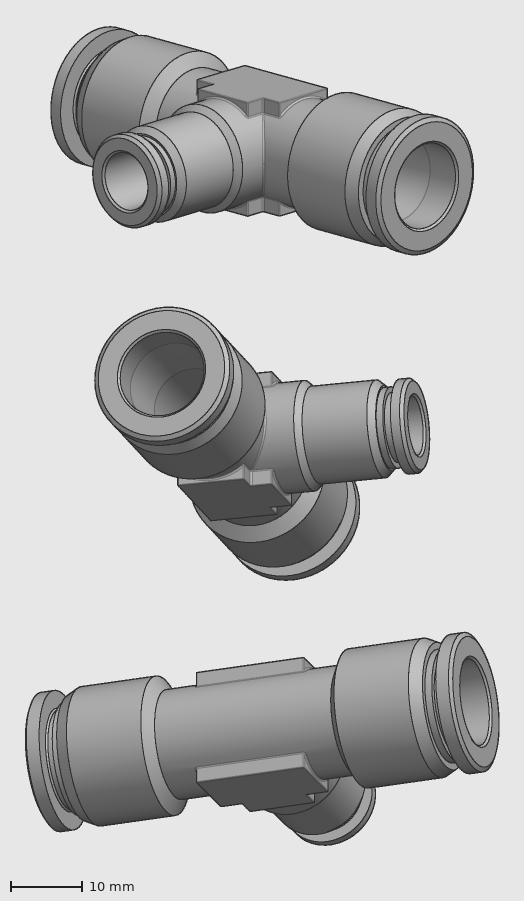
import cadquery as cq
RUN_HALF_LENGTH = 32.0
RUN_TUBE_RADIUS = 7.8
RUN_PORT_RADIUS = 9.89
RUN_PASSAGE_RADIUS = 5.5
RUN_BORE_RADIUS = 6.15
RUN_BORE_DEPTH = 5.25
RUN_TAPER_LENGTH = 9.6

RUN_COLLAR_LENGTH = 2.3
RUN_COLLAR_CHAMFER = (0.4, 0.65)
RUN_NECK_RADIUS = 7.1
RUN_STEP_RADIUS = 8.05
RUN_STEP_START = 3.6
RUN_BODY_START = 4.6
RUN_NOSE_RADIUS = 9.0
RUN_NOSE_LENGTH = 1.8
RUN_BACK_START = 17.55
RUN_BACK_LENGTH = 1.3

BRANCH_REACH = 27.745
BRANCH_ROOT_RADIUS = RUN_TUBE_RADIUS
BRANCH_BODY_RADIUS = 6.9
BRANCH_BORE_RADIUS = 4.15
BRANCH_COLLAR_LENGTH = 1.85
BRANCH_COLLAR_RADIUS = 6.7
BRANCH_COLLAR_CHAMFER = (0.5, 0.45)
BRANCH_NECK_RADIUS = 4.9
BRANCH_STEP_RADIUS = 5.75
BRANCH_STEP_START = 3.25
BRANCH_BODY_START = 4.2
BRANCH_NOSE_RADIUS = 6.0
BRANCH_NOSE_LENGTH = 1.0
BRANCH_CONE_START = 14.7
BRANCH_CONE_LENGTH = 0.95

NECK_FLARE = 0.25
MOUTH_CHAMFER = 0.3

PAD_TOP = 8.35
PAD_HALF_WIDTH = 8.05
PAD_HALF_DEPTH = 4.85
PAD_STEM_HALF_WIDTH = 4.85
PAD_STEM_REACH = 8.0
PAD_EDGE_RADIUS = 0.1
BLEND_RADIUS = 0.25

MARGIN = 0.65
UPRIGHT = cq.selectors.ParallelDirSelector(cq.Vector(0, 0, 1))


def turned(profile):
    """Revolve a closed (station along X, radius) outline about the X axis."""
    return cq.Workplane("XY").polyline(profile).close().revolve(360, (0, 0, 0), (1, 0, 0))


def run_port():
    """Stepped outside of the +X port, from its outer end in to the tube."""
    end = RUN_HALF_LENGTH
    chamfer_length, chamfer_height = RUN_COLLAR_CHAMFER
    collar_back = end - RUN_COLLAR_LENGTH
    body_end = end - RUN_BODY_START
    back_start = end - RUN_BACK_START
    back_end = back_start - RUN_BACK_LENGTH
    return turned([
        (end, 0),
        (end, RUN_PORT_RADIUS - chamfer_height),
        (end - chamfer_length, RUN_PORT_RADIUS),
        (collar_back, RUN_PORT_RADIUS),
        (collar_back, RUN_NECK_RADIUS + NECK_FLARE),
        (collar_back - NECK_FLARE, RUN_NECK_RADIUS),
        (end - RUN_STEP_START, RUN_NECK_RADIUS),
        (end - RUN_STEP_START, RUN_STEP_RADIUS),
        (body_end, RUN_STEP_RADIUS),
        (body_end, RUN_NOSE_RADIUS),
        (body_end - RUN_NOSE_LENGTH, RUN_PORT_RADIUS),
        (back_start, RUN_PORT_RADIUS),
        (back_end, RUN_TUBE_RADIUS),
        (back_end, 0),
    ])


def run_bore():
    """Hollow of the +X half: chamfered mouth, tube socket, taper and passage."""
    end = RUN_HALF_LENGTH
    socket_end = end - RUN_BORE_DEPTH
    taper_end = socket_end - RUN_TAPER_LENGTH
    return turned([
        (end, 0),
        (end, RUN_BORE_RADIUS + MOUTH_CHAMFER),
        (end - MOUTH_CHAMFER, RUN_BORE_RADIUS),
        (socket_end, RUN_BORE_RADIUS),
        (taper_end, RUN_PASSAGE_RADIUS),
        (0, RUN_PASSAGE_RADIUS),
        (0, 0),
    ])


def branch_port():
    """Stepped outside of the branch beyond its root, turned along +X."""
    end = BRANCH_REACH
    chamfer_length, chamfer_height = BRANCH_COLLAR_CHAMFER
    collar_back = end - BRANCH_COLLAR_LENGTH
    body_end = end - BRANCH_BODY_START
    cone_start = end - BRANCH_CONE_START
    cone_end = cone_start - BRANCH_CONE_LENGTH
    return turned([
        (end, 0),
        (end, BRANCH_COLLAR_RADIUS - chamfer_height),
        (end - chamfer_length, BRANCH_COLLAR_RADIUS),
        (collar_back, BRANCH_COLLAR_RADIUS),
        (collar_back, BRANCH_NECK_RADIUS + NECK_FLARE),
        (collar_back - NECK_FLARE, BRANCH_NECK_RADIUS),
        (end - BRANCH_STEP_START, BRANCH_NECK_RADIUS),
        (end - BRANCH_STEP_START, BRANCH_STEP_RADIUS),
        (body_end, BRANCH_STEP_RADIUS),
        (body_end, BRANCH_NOSE_RADIUS),
        (body_end - BRANCH_NOSE_LENGTH, BRANCH_BODY_RADIUS),
        (cone_start, BRANCH_BODY_RADIUS),
        (cone_end, BRANCH_ROOT_RADIUS),
        (cone_end, 0),
    ])


def branch_bore():
    """Straight hollow of the branch with a chamfered mouth, turned along +X."""
    end = BRANCH_REACH
    return turned([
        (end, 0),
        (end, BRANCH_BORE_RADIUS + MOUTH_CHAMFER),
        (end - MOUTH_CHAMFER, BRANCH_BORE_RADIUS),
        (0, BRANCH_BORE_RADIUS),
        (0, 0),
    ])


def to_branch(shape):
    """Swing a shape turned along +X onto the -Y branch axis."""
    return shape.rotate((0, 0, 0), (0, 0, 1), -90)


def both_ends(shape):
    """A shape of the +X half together with its mirror image on the -X half."""
    return shape.union(shape.mirror("YZ"))


def stem_corner_edges():
    """Selector for the upright inner corners where the pads' stem leaves the bar."""
    return UPRIGHT & cq.selectors.BoxSelector(
        (-PAD_STEM_HALF_WIDTH - MARGIN, -PAD_HALF_DEPTH - MARGIN, -PAD_TOP),
        (PAD_STEM_HALF_WIDTH + MARGIN, -PAD_HALF_DEPTH + MARGIN, PAD_TOP),
    )


def pads():
    """T-shaped prism through the junction, leaving a flat pad on both sides."""
    bar = cq.Workplane("XY").box(2 * PAD_HALF_WIDTH, 2 * PAD_HALF_DEPTH, 2 * PAD_TOP)
    stem = (
        cq.Workplane("XY")
        .box(2 * PAD_STEM_HALF_WIDTH, PAD_STEM_REACH, 2 * PAD_TOP)
        .translate((0, -PAD_STEM_REACH / 2, 0))
    )
    prism = bar.union(stem)
    prism = prism.edges(UPRIGHT - stem_corner_edges()).fillet(PAD_EDGE_RADIUS)
    return prism.faces("|Z").edges().fillet(PAD_EDGE_RADIUS)


def junction():
    """Two crossing tubes with the pads, blended along every inner corner."""
    tube_half_length = RUN_HALF_LENGTH - RUN_BACK_START - RUN_BACK_LENGTH
    root_length = BRANCH_REACH - BRANCH_CONE_START - BRANCH_CONE_LENGTH
    tube = cq.Workplane("YZ").circle(RUN_TUBE_RADIUS).extrude(tube_half_length, both=True)
    root = cq.Workplane("XZ").circle(BRANCH_ROOT_RADIUS).extrude(root_length)
    body = tube.union(root).union(pads())
    rim = PAD_TOP - PAD_EDGE_RADIUS
    near_pads = cq.selectors.BoxSelector(
        (-PAD_HALF_WIDTH - MARGIN, -PAD_STEM_REACH - MARGIN, -rim),
        (PAD_HALF_WIDTH + MARGIN, PAD_HALF_DEPTH + MARGIN, rim),
    )
    inner_edges = body.edges((near_pads - UPRIGHT) + stem_corner_edges())
    return inner_edges.fillet(BLEND_RADIUS)


solid = junction().union(to_branch(branch_port()))
hollow = to_branch(branch_bore())
solid = solid.union(both_ends(run_port()))
hollow = hollow.union(both_ends(run_bore()))

result = solid.cut(hollow)